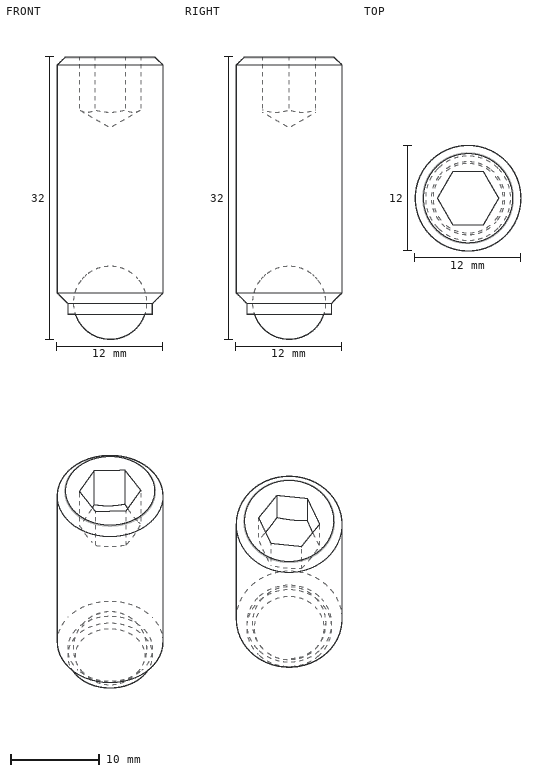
import cadquery as cq
import math

total_length = 32
body_diameter = 12.0
body_radius = body_diameter / 2

chamfer_top_radius = 5.15
bevel_height = 0.1
bevel_width = 0.1
top_end_height = 0.9
nose_radius = 4.8
nose_length = 1.2
bottom_chamfer = body_radius - nose_radius

ball_radius = 4.15
ball_protrusion = 2.85

socket_flats = 6.0
socket_depth = 6.0
drill_point_angle = 120
socket_corner_radius = socket_flats / math.sqrt(3)
socket_cone_depth = socket_corner_radius / math.tan(math.radians(drill_point_angle / 2))

nose_bottom = ball_protrusion
nose_top = nose_bottom + nose_length
thread_bottom = nose_top + bottom_chamfer
thread_top = total_length - top_end_height


def make_ball():
    return cq.Workplane("XY").sphere(ball_radius).translate((0, 0, ball_radius))


def make_blank():
    """Turned outline of the screw body, with a fine bevel between the top chamfer and the end face."""
    end_face_radius = chamfer_top_radius - bevel_width
    bevel_bottom = total_length - bevel_height
    return (
        cq.Workplane("XZ")
        .moveTo(0, nose_bottom)
        .lineTo(nose_radius, nose_bottom)
        .lineTo(nose_radius, nose_top)
        .lineTo(body_radius, thread_bottom)
        .lineTo(body_radius, thread_top)
        .lineTo(chamfer_top_radius, bevel_bottom)
        .lineTo(end_face_radius, total_length)
        .lineTo(0, total_length)
        .close()
        .revolve(360, (0, 0, 0), (0, 1, 0))
    )


def make_socket():
    """Hexagon prism ending in a cone whose base passes through the hexagon corners."""
    floor = total_length - socket_depth
    hexagon = (
        cq.Workplane("XY")
        .workplane(offset=floor)
        .polygon(6, 2 * socket_corner_radius)
        .extrude(socket_depth)
    )
    cone = (
        cq.Workplane("XZ")
        .polyline([(0, floor), (socket_corner_radius, floor), (0, floor - socket_cone_depth)])
        .close()
        .revolve(360, (0, 0, 0), (0, 1, 0))
    )
    prism_below = hexagon.translate((0, 0, -socket_depth))
    return hexagon.union(cone.intersect(prism_below))


ball = make_ball()
screw_body = make_blank().cut(make_socket()).cut(ball)
result = cq.Compound.makeCompound([screw_body.val(), ball.val()])